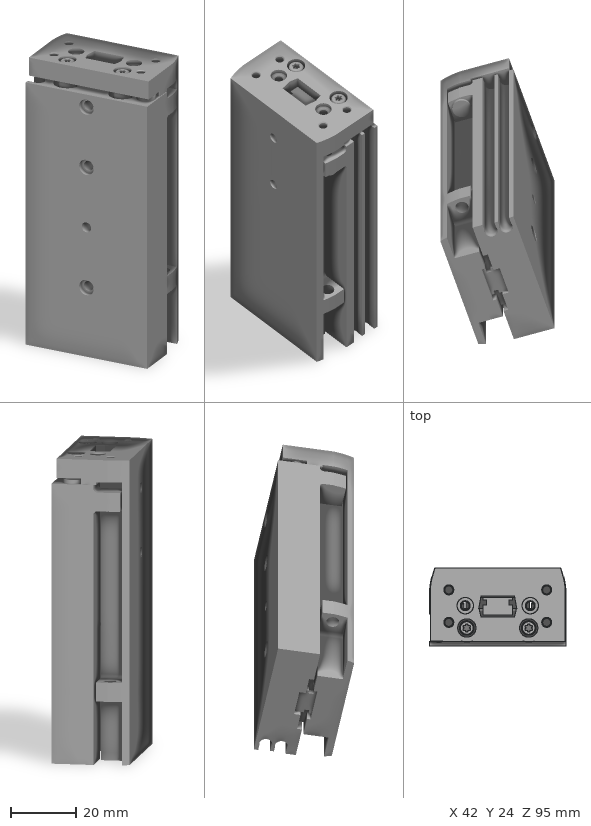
import cadquery as cq
import math

LENGTH = 95.0
TOTAL_DEPTH = 24.0

HOUSING_WIDTH = 42.0
HOUSING_HEIGHT = 87.2
HOUSING_DEPTH = 13.1
FLANK_CURVE_Y = 17.5
FLANK_CENTER_Y = 15.2
FLANK_RADIUS = 26.6
LUG_STEP = 0.1
LUG_INNER_X = 12.9
LUG_BACK_Y = 21.3
LUG_BOTTOM_Z = 79.0
LUG_TOP_Z = 84.9
LUG_FILLET = 1.1

SLOT_MOUTH_WIDTH = 3.7
SLOT_D = 4.0
SLOT_CENTER_X = -18.1
SLOT_YS = (3.2, 8.1)
SLOT_RIB_INSET = 0.3

TROUGH_HALF_WIDTH = 10.4
TROUGH_FLOOR_Y = 11.6
CARRIAGE_HALF_WIDTH = 9.8
CARRIAGE_BACK_Y = 13.7
CARRIAGE_BOTTOM_Z = 2.9
CARRIAGE_TOP_Z = 41.5

MOUNT_ZS = (23.0, 43.0, 63.0, 83.0)
PLAIN_MOUNT_Z = MOUNT_ZS[1]
THROUGH_MOUNT_ZS = MOUNT_ZS[2:]
MOUNT_HOLE_D = 3.2
MOUNT_BORE_D = 5.0
MOUNT_BORE_DEPTH = 1.4

STOP_D = 6.0
STOP_X = 17.5
STOP_Y = 17.7
STOP_HEIGHT = 0.95
STOP_SOCKET_D = 2.5
STOP_SOCKET_DEPTH = 3.0
PLUG_Y = 6.1
PLUG_HEIGHT = 1.2

ROD_X = 9.5
ROD_Y = 5.6
ROD_D = 5.8
ROD_BORE_D = 8.6
ROD_BORE_DEPTH = 5.0
SCREW_BORE_D = 5.6
SCREW_BORE_DEPTH = 3.0
SCREW_HEAD_D = 4.5
SCREW_HEAD_HEIGHT = 2.7
SCREW_HEAD_CHAMFER = 0.3
SOCKET_D = 2.5
SOCKET_LOBE_D = 0.8
SOCKET_DEPTH = 1.5
SOCKET_LOBES = 6

TABLE_HALF_WIDTH = 20.7
SLAB_THICKNESS = 2.3
SLAB_FRONT_Y = TOTAL_DEPTH - SLAB_THICKNESS
PLATE_FRONT_Y = 1.5
PLATE_BOTTOM_Z = 89.0
PLATE_HEEL_Z = 88.1
SPINE_HALF_WIDTH = 12.2
SPINE_FRONT_Y = 13.9
SPINE_FILLET = 1.2
CHANNEL_HALF_WIDTH = 5.8
CROSS_BOTTOM_Z = 19.8
CROSS_TOP_Z = 25.65
CROSS_HOLE_D = 4.0

PAD_INNER_X = 12.5
PAD_FRONT_Y = 9.1

PLATE_HOLE_X = 15.0
PLATE_HOLE_YS = (7.3, 17.3)
PLATE_HOLE_DEPTH = 5.0
THREAD_CORE_D = 2.5
THREAD_D = 3.0
SLEEVE_X = 10.0
SLEEVE_Y = 12.4
SLEEVE_BORE_D = 5.0
SLEEVE_BORE_DEPTH = 1.3

WINDOW_FRONT_Y = 9.0
WINDOW_BACK_Y = 15.4
WINDOW_WIDEST_Y = 11.8
WINDOW_END_HALF = 5.1
WINDOW_WIDEST_HALF = CHANNEL_HALF_WIDTH
RAIL_HALF_WIDTH = 4.6
RAIL_NECK_HALF = 3.4
RAIL_FRONT_Y = 9.6
RAIL_NECK_FRONT_Y = 12.6
RAIL_NECK_BACK_Y = 14.2
RAIL_BACK_Y = 15.0
WINDOW_BOTTOM_Z = 85.5
RAIL_BOTTOM_Z = 1.4
RAIL_TOP_Z = 92.15


def box(x0, x1, y0, y1, z0, z1):
    return cq.Workplane("XY").box(x1 - x0, y1 - y0, z1 - z0, centered=False).translate((x0, y0, z0))


def rod(x, y, diameter, z0, z1):
    """Upright cylinder."""
    return cq.Workplane("XY", origin=(x, y, z0)).circle(diameter / 2).extrude(z1 - z0)


def mount_hole(z, diameter, y0, y1):
    """Cylinder along +Y on the centre line."""
    return cq.Workplane("XZ", origin=(0, y0, z)).circle(diameter / 2).extrude(y0 - y1)


def flank_section(half_width, front_y, back_y, z0, z1):
    """Prism with straight flanks up to FLANK_CURVE_Y, then curved inwards."""

    def reach(y):
        return math.sqrt(FLANK_RADIUS**2 - (y - FLANK_CENTER_Y) ** 2)

    def flank_point(y):
        return half_width - reach(FLANK_CURVE_Y) + reach(y), y

    back_x, _ = flank_point(back_y)
    mid_x, mid_y = flank_point((FLANK_CURVE_Y + back_y) / 2)
    return (
        cq.Workplane("XY", origin=(0, 0, z0))
        .moveTo(-half_width, front_y)
        .lineTo(half_width, front_y)
        .lineTo(half_width, FLANK_CURVE_Y)
        .threePointArc((mid_x, mid_y), (back_x, back_y))
        .lineTo(-back_x, back_y)
        .threePointArc((-mid_x, mid_y), (-half_width, FLANK_CURVE_Y))
        .close()
        .extrude(z1 - z0)
    )


def rail_prism(z0, z1):
    """Guide rail with a narrower neck, mirrored about X = 0."""
    half_outline = [
        (0, RAIL_FRONT_Y),
        (RAIL_HALF_WIDTH, RAIL_FRONT_Y),
        (RAIL_HALF_WIDTH, RAIL_NECK_FRONT_Y),
        (RAIL_NECK_HALF, RAIL_NECK_FRONT_Y),
        (RAIL_NECK_HALF, RAIL_NECK_BACK_Y),
        (RAIL_HALF_WIDTH, RAIL_NECK_BACK_Y),
        (RAIL_HALF_WIDTH, RAIL_BACK_Y),
        (0, RAIL_BACK_Y),
    ]
    half = cq.Workplane("XY", origin=(0, 0, z0)).polyline(half_outline).close().extrude(z1 - z0)
    return half.union(half.mirror("YZ"))


def housing_lugs():
    """Two lugs behind the top of the housing, blended into its back face."""
    half = HOUSING_WIDTH / 2
    lugs = flank_section(half - LUG_STEP, FLANK_CENTER_Y, LUG_BACK_Y, LUG_BOTTOM_Z, LUG_TOP_Z)
    lugs = lugs.union(box(-half, half, HOUSING_DEPTH, FLANK_CURVE_Y, LUG_BOTTOM_Z, LUG_TOP_Z))
    return lugs.cut(box(-LUG_INNER_X, LUG_INNER_X, 0, TOTAL_DEPTH, 0, LENGTH))


def lug_fillet_edges(body):
    """Inner corners where the lugs meet the back face."""
    margin = 0.1
    half = HOUSING_WIDTH / 2 + margin
    for z in (LUG_BOTTOM_Z, LUG_TOP_Z):
        selector = cq.selectors.BoxSelector(
            (-half, HOUSING_DEPTH - margin, z - margin), (half, HOUSING_DEPTH + margin, z + margin)
        )
        body = body.edges(selector).edges("|X").fillet(LUG_FILLET)
    return body


def sensor_slots():
    """Round slots with a narrower mouth in the left flank, and the set-back rib between them."""
    flank = -HOUSING_WIDTH / 2
    cutter = box(flank, flank + SLOT_RIB_INSET, SLOT_YS[0], SLOT_YS[1], 0, HOUSING_HEIGHT)
    for y in SLOT_YS:
        mouth_y0 = y - SLOT_MOUTH_WIDTH / 2
        mouth = box(flank, SLOT_CENTER_X, mouth_y0, mouth_y0 + SLOT_MOUTH_WIDTH, 0, HOUSING_HEIGHT)
        cutter = cutter.union(mouth).union(rod(SLOT_CENTER_X, y, SLOT_D, 0, HOUSING_HEIGHT))
    return cutter


def make_housing():
    half = HOUSING_WIDTH / 2
    body = box(-half, half, 0, HOUSING_DEPTH, 0, HOUSING_HEIGHT).union(housing_lugs())
    body = lug_fillet_edges(body).cut(sensor_slots())

    body = body.cut(
        box(-TROUGH_HALF_WIDTH, TROUGH_HALF_WIDTH, TROUGH_FLOOR_Y, HOUSING_DEPTH, 0, HOUSING_HEIGHT)
    )
    carriage = box(
        -CARRIAGE_HALF_WIDTH, CARRIAGE_HALF_WIDTH,
        TROUGH_FLOOR_Y, CARRIAGE_BACK_Y,
        CARRIAGE_BOTTOM_Z, CARRIAGE_TOP_Z,
    )
    tongue = box(
        -CHANNEL_HALF_WIDTH, CHANNEL_HALF_WIDTH,
        TROUGH_FLOOR_Y, RAIL_BACK_Y,
        CARRIAGE_BOTTOM_Z, CARRIAGE_TOP_Z,
    )
    body = body.union(carriage).union(tongue).cut(rail_prism(0, LENGTH))

    for z in MOUNT_ZS:
        body = body.cut(mount_hole(z, MOUNT_HOLE_D, 0, RAIL_FRONT_Y))
        if z != PLAIN_MOUNT_Z:
            body = body.cut(mount_hole(z, MOUNT_BORE_D, 0, MOUNT_BORE_DEPTH))

    for x in (-ROD_X, ROD_X):
        body = body.cut(rod(x, ROD_Y, ROD_BORE_D, HOUSING_HEIGHT - ROD_BORE_DEPTH, HOUSING_HEIGHT))

    body = body.union(rod(-STOP_X, STOP_Y, STOP_D, LUG_BOTTOM_Z - STOP_HEIGHT, LUG_TOP_Z))
    body = body.cut(rod(-STOP_X, STOP_Y, STOP_SOCKET_D, LUG_TOP_Z - STOP_SOCKET_DEPTH, LUG_TOP_Z))
    return body.union(rod(STOP_X, PLUG_Y, STOP_D, HOUSING_HEIGHT, HOUSING_HEIGHT + PLUG_HEIGHT))


def tapped_hole(x, y, z_top, z_bottom):
    """Core hole with a countersink out to the thread diameter."""
    sink = (THREAD_D - THREAD_CORE_D) / 2
    cone = (
        cq.Workplane("XY", origin=(x, y, z_top))
        .circle(THREAD_D / 2)
        .workplane(offset=-sink)
        .circle(THREAD_CORE_D / 2)
        .loft()
    )
    return rod(x, y, THREAD_CORE_D, z_bottom, z_top).union(cone)


def screw_head(x, y):
    """Round head with a six-lobed socket, standing on the floor of its counterbore."""
    floor = LENGTH - SCREW_BORE_DEPTH
    top = floor + SCREW_HEAD_HEIGHT
    head = rod(x, y, SCREW_HEAD_D, floor, top).faces(">Z").edges().chamfer(SCREW_HEAD_CHAMFER)
    lobe_radius = (SOCKET_D - SOCKET_LOBE_D) / 2
    socket = rod(x, y, 2 * lobe_radius, top - SOCKET_DEPTH, top)
    for i in range(SOCKET_LOBES):
        angle = math.pi / 2 + 2 * math.pi * i / SOCKET_LOBES
        lobe_x = x + lobe_radius * math.cos(angle)
        lobe_y = y + lobe_radius * math.sin(angle)
        socket = socket.union(rod(lobe_x, lobe_y, SOCKET_LOBE_D, top - SOCKET_DEPTH, top))
    return head.cut(socket)


def window():
    """Six-sided opening through the end plate around the rail."""
    outline = [
        (-WINDOW_END_HALF, WINDOW_FRONT_Y),
        (WINDOW_END_HALF, WINDOW_FRONT_Y),
        (WINDOW_WIDEST_HALF, WINDOW_WIDEST_Y),
        (WINDOW_END_HALF, WINDOW_BACK_Y),
        (-WINDOW_END_HALF, WINDOW_BACK_Y),
        (-WINDOW_WIDEST_HALF, WINDOW_WIDEST_Y),
    ]
    return (
        cq.Workplane("XY", origin=(0, 0, WINDOW_BOTTOM_Z))
        .polyline(outline)
        .close()
        .extrude(LENGTH - WINDOW_BOTTOM_Z)
    )


def spine():
    """Central block under the slab, flaring with a fillet into the cross members."""
    body = box(-SPINE_HALF_WIDTH, SPINE_HALF_WIDTH, SPINE_FRONT_Y, TOTAL_DEPTH, 0, LENGTH)
    for z, direction in ((PLATE_HEEL_Z, -1), (CROSS_TOP_Z, 1), (CROSS_BOTTOM_Z, -1)):
        for side in (-1, 1):
            wall = side * SPINE_HALF_WIDTH
            tip = wall + side * SPINE_FILLET
            foot = z + direction * SPINE_FILLET
            bend = SPINE_FILLET * (1 - math.sqrt(0.5))
            gusset = (
                cq.Workplane("XZ", origin=(0, SLAB_FRONT_Y, 0))
                .moveTo(wall, z)
                .lineTo(tip, z)
                .threePointArc((wall + side * bend, z + direction * bend), (wall, foot))
                .close()
                .extrude(SLAB_FRONT_Y - SPINE_FRONT_Y)
            )
            body = body.union(gusset)
    return body


def make_table():
    half = TABLE_HALF_WIDTH
    outline = flank_section(half, PLATE_FRONT_Y, TOTAL_DEPTH, 0, LENGTH)

    blocks = (
        (SLAB_FRONT_Y, 0, LENGTH),
        (PLATE_FRONT_Y, PLATE_BOTTOM_Z, LENGTH),
        (SPINE_FRONT_Y, PLATE_HEEL_Z, LENGTH),
        (SPINE_FRONT_Y, CROSS_BOTTOM_Z, CROSS_TOP_Z),
    )
    body = spine()
    for front_y, z0, z1 in blocks:
        body = body.union(outline.intersect(box(-half, half, front_y, TOTAL_DEPTH, z0, z1)))

    body = body.union(box(PAD_INNER_X, half, PAD_FRONT_Y, SPINE_FRONT_Y, HOUSING_HEIGHT, LENGTH))

    channel = box(-CHANNEL_HALF_WIDTH, CHANNEL_HALF_WIDTH, SPINE_FRONT_Y, RAIL_BACK_Y, 0, PLATE_HEEL_Z)
    body = body.cut(channel).cut(window()).union(rail_prism(RAIL_BOTTOM_Z, RAIL_TOP_Z))

    for side in (-1, 1):
        x = side * ROD_X
        body = body.union(rod(x, ROD_Y, ROD_D, HOUSING_HEIGHT - ROD_BORE_DEPTH, PLATE_BOTTOM_Z))
        body = body.cut(rod(x, ROD_Y, SCREW_BORE_D, LENGTH - SCREW_BORE_DEPTH, LENGTH))
        body = body.union(screw_head(x, ROD_Y))

        for y in PLATE_HOLE_YS:
            body = body.cut(tapped_hole(side * PLATE_HOLE_X, y, LENGTH, LENGTH - PLATE_HOLE_DEPTH))

        bore_floor = LENGTH - SLEEVE_BORE_DEPTH
        body = body.cut(rod(side * SLEEVE_X, SLEEVE_Y, SLEEVE_BORE_D, bore_floor, LENGTH))
        body = body.cut(tapped_hole(side * SLEEVE_X, SLEEVE_Y, bore_floor, PLATE_BOTTOM_Z))

        body = body.cut(rod(side * STOP_X, STOP_Y, CROSS_HOLE_D, CROSS_BOTTOM_Z, CROSS_TOP_Z))

    for z in THROUGH_MOUNT_ZS:
        body = body.cut(mount_hole(z, MOUNT_HOLE_D, 0, TOTAL_DEPTH))
    return body


housing = make_housing()
table = make_table()
result = cq.Compound.makeCompound([housing.val(), table.val()])